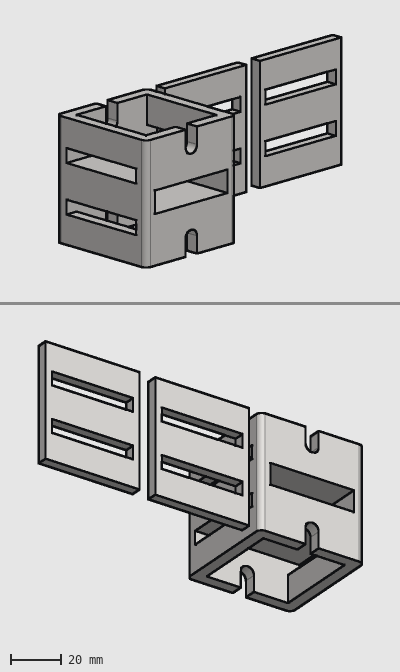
import cadquery as cq
housing_width = 50.8
housing_height = 53.09
corner_radius = 2.5

cavity_width = 39.4
cavity_depth_width = 39.5

slot_height = 6.2
slot_spacing = 21.5
plate_slot_length = 39.37

floor_height = (slot_spacing - slot_height) / 2
cavity_depth = housing_height / 2 - floor_height

window_width = 40.64
window_height = 9.8

notch_width = 6.35
notch_centre_depth = 7.5

plate_thickness = 4.9
plate_width = 45.72
plate_pitch = 53.34
plate_count = 2
total_length = 155.07
last_plate_back = total_length - housing_width / 2

sides = (1, -1)


def slot_pair(length_x, length_y):
    """Two flat boxes, one above the other, that cut a pair of slots."""
    centres = [(0, 0, side * slot_spacing / 2) for side in sides]
    slots = cq.Workplane("XY").box(length_x, length_y, slot_height)
    lower = slots.translate(centres[1])
    return slots.translate(centres[0]).union(lower)


def cavity(side):
    """The square recess at one end of the housing."""
    centre_height = floor_height + cavity_depth / 2
    block = cq.Workplane("XY").box(cavity_width, cavity_depth_width, cavity_depth)
    return block.translate((0, 0, side * centre_height))


def rim_notch(side):
    """A round-ended notch across both X walls at one end of the housing."""
    straight = cq.Workplane("YZ").rect(notch_width, 2 * notch_centre_depth).extrude(housing_width, both=True)
    round_end = cq.Workplane("YZ").circle(notch_width / 2).extrude(housing_width, both=True)
    straight = straight.translate((0, 0, side * housing_height / 2))
    round_end = round_end.translate((0, 0, side * (housing_height / 2 - notch_centre_depth)))
    return straight.union(round_end)


def make_housing():
    body = cq.Workplane("XY").box(housing_width, housing_width, housing_height)
    body = body.edges("|Z").fillet(corner_radius)
    for side in sides:
        body = body.cut(cavity(side))
        body = body.cut(rim_notch(side))
    body = body.cut(slot_pair(cavity_width, 2 * housing_width))
    window = cq.Workplane("XY").box(2 * housing_width, window_width, window_height)
    return body.cut(window)


def make_plate(back):
    """A slotted plate in line with the -X face of the housing; back is its +Y side."""
    plate = cq.Workplane("XY").box(plate_thickness, plate_width, housing_height)
    plate = plate.cut(slot_pair(2 * plate_thickness, plate_slot_length))
    centre_x = (plate_thickness - housing_width) / 2
    centre_y = back - plate_width / 2
    return plate.translate((centre_x, centre_y, 0))


housing = make_housing()
plates = [make_plate(last_plate_back - index * plate_pitch) for index in range(plate_count)]

result = cq.Compound.makeCompound([housing.val()] + [plate.val() for plate in plates])